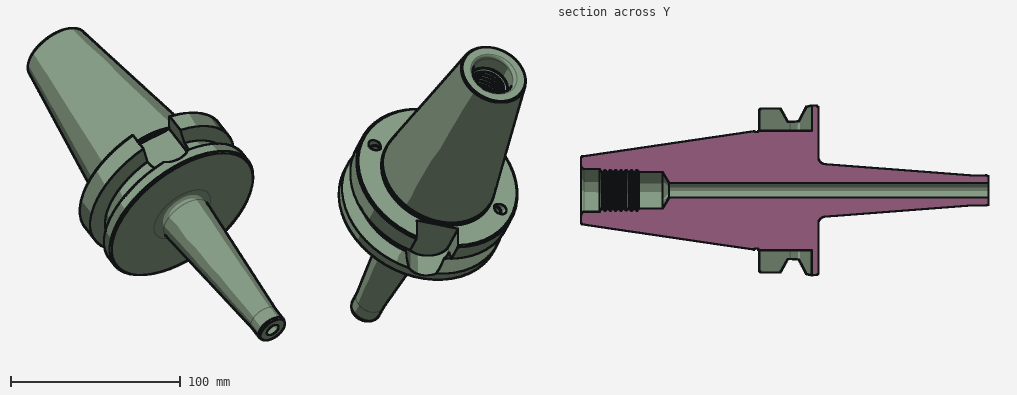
import cadquery as cq
import math


total_length = 239.8
taper_end = 102.0
flange_back = 104.8
flange_front = 139.8
nose_cone_end = 229.7

taper_small_radius = 20.1
taper_large_radius = 35.0
taper_end_chamfer = 0.7
neck_groove_end = 104.0
neck_groove_depth = 0.5

flange_diameter = 100.0
flange_radius = flange_diameter / 2
flange_chamfer = 1.0
groove_floor_radius = 42.5
groove_center = 125.0
groove_floor_width = 6.5
groove_flank_angle = 30.0

nose_root_radius = 15.5
nose_tip_diameter = 18.0
nose_tip_radius = nose_tip_diameter / 2
nose_fillet = 4.0
tip_chamfer_length = 1.5
tip_chamfer_depth = 0.5

through_radius = 4.0
thread_crest_radius = 10.5
tap_hole_depth = 48.0
pilot_radius = 12.5
pilot_depth = 11.0
thread_root_radius = 12.0
thread_pitch = 3.0
thread_turns = 8
thread_crest_width = 0.7
mouth_fillet = 2.0
drill_point_angle = 118.0

slot_width = 25.7
slot_floor = 35.3
slot_end = 135.7

channel_angle = 20.0
slanted_hole_start = 41.5
slanted_hole_tilt = 20.0
slanted_mouth_radius = 3.5
slanted_mouth_length = 3.5
slanted_hole_radius = 2.9
slanted_hole_length = 21.5
radial_hole_radius = 2.6
radial_hole_bottom = 34.8


def turned_body():
    """Solid of revolution with the taper, flange and nose, before any cut."""
    groove_rise = flange_radius - groove_floor_radius
    flank_width = groove_rise * math.tan(math.radians(groove_flank_angle))
    floor_back = groove_center - groove_floor_width / 2
    floor_front = groove_center + groove_floor_width / 2
    neck_radius = taper_large_radius - neck_groove_depth
    fillet_mid = nose_fillet * (1 - math.sqrt(0.5))
    return (
        cq.Workplane("XZ")
        .moveTo(0, 0)
        .lineTo(0, taper_small_radius - taper_end_chamfer)
        .lineTo(taper_end_chamfer, taper_small_radius)
        .lineTo(taper_end, taper_large_radius)
        .lineTo(taper_end + neck_groove_depth, neck_radius)
        .lineTo(neck_groove_end, neck_radius)
        .lineTo(neck_groove_end, taper_large_radius)
        .lineTo(flange_back, taper_large_radius)
        .lineTo(flange_back, flange_radius - flange_chamfer)
        .lineTo(flange_back + flange_chamfer, flange_radius)
        .lineTo(floor_back - flank_width, flange_radius)
        .lineTo(floor_back, groove_floor_radius)
        .lineTo(floor_front, groove_floor_radius)
        .lineTo(floor_front + flank_width, flange_radius)
        .lineTo(flange_front - flange_chamfer, flange_radius)
        .lineTo(flange_front, flange_radius - flange_chamfer)
        .lineTo(flange_front, nose_root_radius + nose_fillet)
        .threePointArc(
            (flange_front + fillet_mid, nose_root_radius + fillet_mid),
            (flange_front + nose_fillet, nose_root_radius),
        )
        .lineTo(nose_cone_end, nose_tip_radius)
        .lineTo(total_length - tip_chamfer_length, nose_tip_radius)
        .lineTo(total_length, nose_tip_radius - tip_chamfer_depth)
        .lineTo(total_length, 0)
        .close()
        .revolve(360, (0, 0, 0), (1, 0, 0))
    )


def axial_bore():
    """Rounded mouth, plain pilot, thread as closed rings, then a drill point into the through hole."""
    fillet_mid = mouth_fillet * (1 - math.sqrt(0.5))
    point_depth = (thread_crest_radius - through_radius) / math.tan(math.radians(drill_point_angle / 2))
    outline = (
        cq.Workplane("XZ")
        .moveTo(0, 0)
        .lineTo(0, pilot_radius + mouth_fillet)
        .threePointArc((fillet_mid, pilot_radius + fillet_mid), (mouth_fillet, pilot_radius))
        .lineTo(pilot_depth, pilot_radius)
    )
    flank_length = (thread_pitch - thread_crest_width) / 2
    for turn in range(thread_turns):
        turn_start = pilot_depth + turn * thread_pitch
        outline = (
            outline
            .lineTo(turn_start, thread_root_radius)
            .lineTo(turn_start + flank_length, thread_crest_radius)
            .lineTo(turn_start + flank_length + thread_crest_width, thread_crest_radius)
        )
    return (
        outline
        .lineTo(tap_hole_depth, thread_crest_radius)
        .lineTo(tap_hole_depth + point_depth, through_radius)
        .lineTo(total_length, through_radius)
        .lineTo(total_length, 0)
        .close()
        .revolve(360, (0, 0, 0), (1, 0, 0))
    )


def drive_slot():
    """Round-ended slot cut into the top of the flange from its back face."""
    end_center = slot_end - slot_width / 2
    return (
        cq.Workplane("XY", origin=(0, 0, slot_floor))
        .moveTo(flange_back, -slot_width / 2)
        .lineTo(end_center, -slot_width / 2)
        .threePointArc((slot_end, 0), (end_center, slot_width / 2))
        .lineTo(flange_back, slot_width / 2)
        .close()
        .extrude(flange_radius)
    )


def coolant_channel():
    """Both holes of one channel, built on the +Y side and turned to their place."""
    tilt = math.radians(slanted_hole_tilt)
    slant = cq.Vector(math.cos(tilt), -math.sin(tilt), 0)
    overrun = 2 * slanted_mouth_radius * math.tan(tilt)
    start = cq.Vector(flange_back, slanted_hole_start, 0) - slant * overrun
    slanted_mouth = cq.Solid.makeCylinder(
        slanted_mouth_radius, slanted_mouth_length + overrun, start, slant
    )
    slanted_hole = cq.Solid.makeCylinder(
        slanted_hole_radius, slanted_hole_length + overrun, start, slant
    )
    radial_hole = cq.Solid.makeCylinder(
        radial_hole_radius,
        flange_radius - radial_hole_bottom,
        cq.Vector(groove_center, radial_hole_bottom, 0),
        cq.Vector(0, 1, 0),
    )
    channel = cq.Workplane(slanted_mouth)
    for hole in (slanted_hole, radial_hole):
        channel = channel.union(cq.Workplane(hole))
    return channel.rotate((0, 0, 0), (1, 0, 0), channel_angle)


result = turned_body().cut(axial_bore())
for turn in (0, 180):
    for cutter in (drive_slot(), coolant_channel()):
        result = result.cut(cutter.rotate((0, 0, 0), (1, 0, 0), turn))